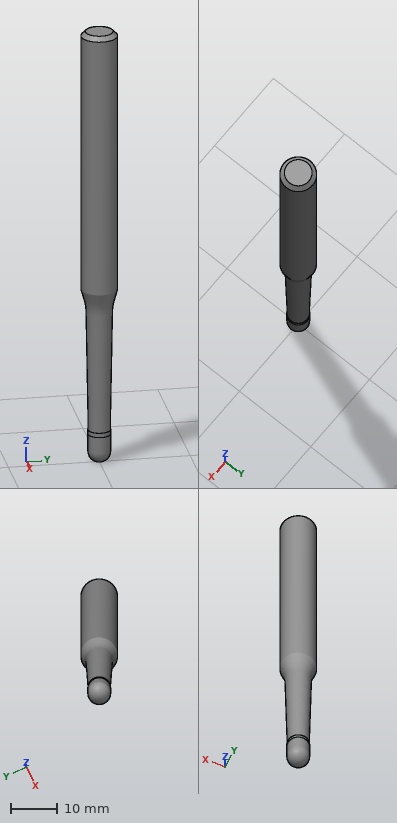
import cadquery as cq
import math

TOTAL_LENGTH = 100.0

CUTTER_DIAMETER = 5.0
CUTTER_LENGTH = 6.5

COLLAR_TOP = 7.5
NECK_DIAMETER = 4.9
NECK_TOP = 9.5

REACH_TOP = 35.0
REACH_HALF_ANGLE = math.radians(1)

BLEND_RADIUS = 10.0
SHOULDER_HALF_ANGLE = math.radians(16)

SHANK_DIAMETER = 8.0
SHANK_CHAMFER = 1.0

cutter_radius = CUTTER_DIAMETER / 2
neck_radius = NECK_DIAMETER / 2
shank_radius = SHANK_DIAMETER / 2

reach_top_radius = neck_radius + (REACH_TOP - NECK_TOP) * math.tan(REACH_HALF_ANGLE)

blend_top_radius = reach_top_radius + BLEND_RADIUS * (
    math.cos(REACH_HALF_ANGLE) - math.cos(SHOULDER_HALF_ANGLE)
)
blend_top = REACH_TOP + BLEND_RADIUS * (math.sin(SHOULDER_HALF_ANGLE) - math.sin(REACH_HALF_ANGLE))
shank_bottom = blend_top + (shank_radius - blend_top_radius) / math.tan(SHOULDER_HALF_ANGLE)


def revolve_about_z(half_profile):
    """Close an open half profile (local x = radius, local y = Z) along the axis and revolve it."""
    return half_profile.close().revolve(360, (0, 0), (0, 1))


def make_cutting_head():
    """Cylinder with a hemispherical tip below and a flat joint face on top."""
    arc_middle = cutter_radius * math.sin(math.radians(45))
    half_profile = (
        cq.Workplane("XZ")
        .moveTo(0, 0)
        .threePointArc((arc_middle, cutter_radius - arc_middle), (cutter_radius, cutter_radius))
        .lineTo(cutter_radius, CUTTER_LENGTH)
        .lineTo(0, CUTTER_LENGTH)
    )
    return revolve_about_z(half_profile)


def make_shank():
    """Collar, neck, slender cone, blended shoulder and chamfered shank as one turned body."""
    half_profile = (
        cq.Workplane("XZ")
        .moveTo(0, CUTTER_LENGTH)
        .lineTo(cutter_radius, CUTTER_LENGTH)
        .lineTo(cutter_radius, COLLAR_TOP)
        .lineTo(neck_radius, COLLAR_TOP)
        .lineTo(neck_radius, NECK_TOP)
        .lineTo(reach_top_radius, REACH_TOP)
        .tangentArcPoint((blend_top_radius, blend_top), relative=False)
        .lineTo(shank_radius, shank_bottom)
        .lineTo(shank_radius, TOTAL_LENGTH - SHANK_CHAMFER)
        .lineTo(shank_radius - SHANK_CHAMFER, TOTAL_LENGTH)
        .lineTo(0, TOTAL_LENGTH)
    )
    return revolve_about_z(half_profile)


cutting_head = make_cutting_head()
shank = make_shank()

result = cq.Compound.makeCompound([cutting_head.val(), shank.val()])